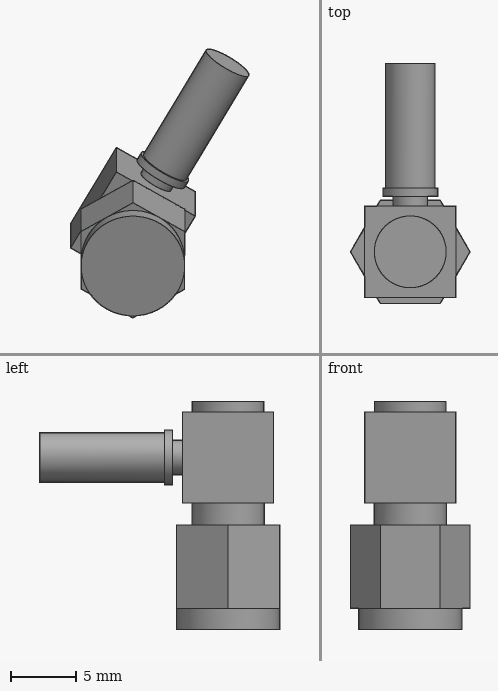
import cadquery as cq
import math


nut_across_corners = 9.15
nut_across_flats = nut_across_corners * math.cos(math.pi / 6)
nut_collar_height = 1.62
nut_hex_height = 6.4
nut_height = nut_collar_height + nut_hex_height

block_side = 6.98
neck_diameter = 5.55
neck_height = 1.65
cap_diameter = 5.5
cap_height = 0.79
block_bottom = nut_height + neck_height
block_top = block_bottom + block_side
cable_axis_height = block_bottom + block_side / 2

stub_diameter = 2.67
stub_length = 0.75
flange_diameter = 4.2
flange_length = 0.62
sleeve_diameter = 3.8
overall_length = 18.38
flange_start = block_side / 2 + stub_length
sleeve_start = flange_start + flange_length
sleeve_end = overall_length - nut_across_flats / 2


def upright_cylinder(diameter, bottom, height):
    """Cylinder on the coupling axis."""
    return cq.Workplane("XY").workplane(offset=bottom).circle(diameter / 2).extrude(height)


def cable_cylinder(diameter, start, length):
    """Cylinder on the cable axis, growing toward +Y."""
    plane = cq.Workplane("XZ", origin=(0, start, cable_axis_height))
    return plane.circle(diameter / 2).extrude(-length)


def make_nut():
    """Hexagon with corners on X above a round collar as wide as its flats."""
    collar = upright_cylinder(nut_across_flats, 0, nut_collar_height)
    hexagon = (
        cq.Workplane("XY")
        .workplane(offset=nut_collar_height)
        .polygon(6, nut_across_corners)
        .extrude(nut_hex_height)
    )
    return collar.union(hexagon)


def make_body():
    """Cubic block with a neck below, a cap on top and a flanged cable outlet."""
    block = (
        cq.Workplane("XY")
        .workplane(offset=block_bottom)
        .rect(block_side, block_side)
        .extrude(block_side)
    )
    neck = upright_cylinder(neck_diameter, nut_height, neck_height)
    cap = upright_cylinder(cap_diameter, block_top, cap_height)
    stub = cable_cylinder(stub_diameter, block_side / 2, stub_length)
    flange = cable_cylinder(flange_diameter, flange_start, flange_length)
    return block.union(neck).union(cap).union(stub).union(flange)


def make_sleeve():
    """Plain round sleeve seated against the flange."""
    return cable_cylinder(sleeve_diameter, sleeve_start, sleeve_end - sleeve_start)


nut = make_nut()
body = make_body()
sleeve = make_sleeve()

result = cq.Compound.makeCompound([nut.val(), body.val(), sleeve.val()])